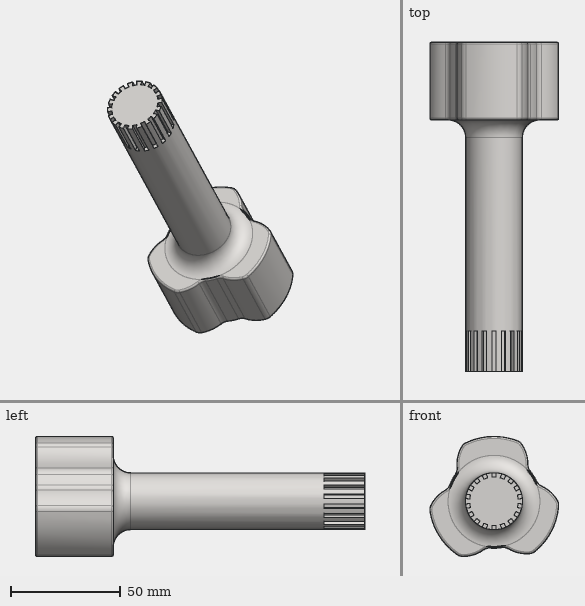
import cadquery as cq
import math

total_length = 150.5
head_length = 35.5
shaft_diameter = 26.0
collar_radius = 8.0

lobe_count = 3
outer_radius = 29.6
core_radius = 21.5
lobe_radius = 16.3
lobe_offset = 16.9
lobe_tilt = 2.4
lobe_blend = 4.5
rim_round = 0.9

groove_count = 18
groove_width = 2.0
groove_depth = 2.0
groove_length = 18.7

back_y = total_length / 2
shoulder_y = back_y - head_length
tip_y = -total_length / 2
shaft_radius = shaft_diameter / 2


def cylinder(radius, start_y, length, x=0, z=0):
    """Cylinder along Y that starts at start_y and runs toward -Y."""
    plane = cq.Workplane("XZ", origin=(x, start_y, z))
    return plane.circle(radius).extrude(length)


def make_head():
    head = cylinder(core_radius, back_y, head_length)
    for i in range(lobe_count):
        angle = math.radians(90 + lobe_tilt + i * 360 / lobe_count)
        lobe_x = lobe_offset * math.cos(angle)
        lobe_z = lobe_offset * math.sin(angle)
        head = head.union(cylinder(lobe_radius, back_y, head_length, lobe_x, lobe_z))
    head = head.intersect(cylinder(outer_radius, back_y, head_length))
    head = head.edges("|Y").fillet(lobe_blend)
    return head.faces("<Y or >Y").edges().fillet(rim_round)


def make_shaft():
    collar_y = shoulder_y - collar_radius
    arc_gap = collar_radius * (1 - math.cos(math.pi / 4))
    arc_middle = (shaft_radius + arc_gap, shoulder_y - arc_gap)
    arc_end = (shaft_radius + collar_radius, shoulder_y)
    half_section = (
        cq.Workplane("XY")
        .moveTo(0, tip_y)
        .lineTo(shaft_radius, tip_y)
        .lineTo(shaft_radius, collar_y)
        .threePointArc(arc_middle, arc_end)
        .lineTo(0, shoulder_y)
        .close()
    )
    return half_section.revolve(360, (0, 0, 0), (0, 1, 0))


def cut_grooves(shaft):
    cutter = cq.Workplane("XY").box(groove_width, groove_length, 2 * groove_depth)
    cutter = cutter.translate((0, tip_y + groove_length / 2, shaft_radius))
    for i in range(groove_count):
        shaft = shaft.cut(cutter.rotate((0, 0, 0), (0, 1, 0), i * 360 / groove_count))
    return shaft


result = make_head().union(cut_grooves(make_shaft()))